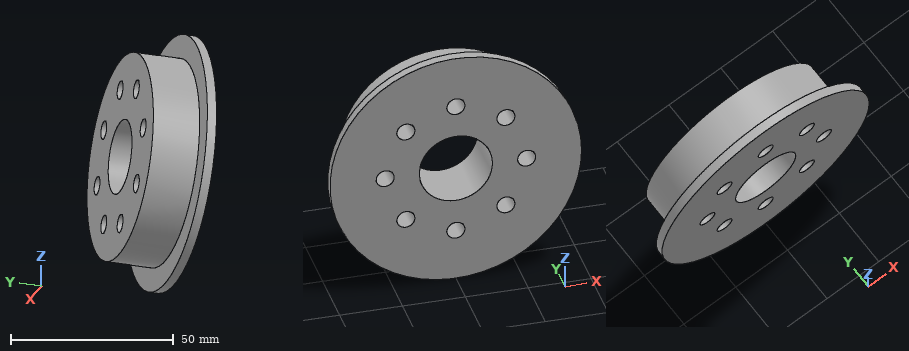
import cadquery as cq

flange_diameter = 80.0
flange_thickness = 3.0
hub_diameter = 65.0
total_depth = 18.0
bore_diameter = 23.2
hole_diameter = 5.7
hole_circle_diameter = 45.0
hole_count = 8

front_face = cq.Workplane("XZ")

flange = front_face.circle(flange_diameter / 2).extrude(-flange_thickness)
hub = front_face.circle(hub_diameter / 2).extrude(-total_depth)

bore = front_face.circle(bore_diameter / 2).extrude(-total_depth)
bolt_holes = (
    front_face.polarArray(hole_circle_diameter / 2, 0, 360, hole_count)
    .circle(hole_diameter / 2)
    .extrude(-total_depth)
)

result = flange.union(hub).cut(bore).cut(bolt_holes)